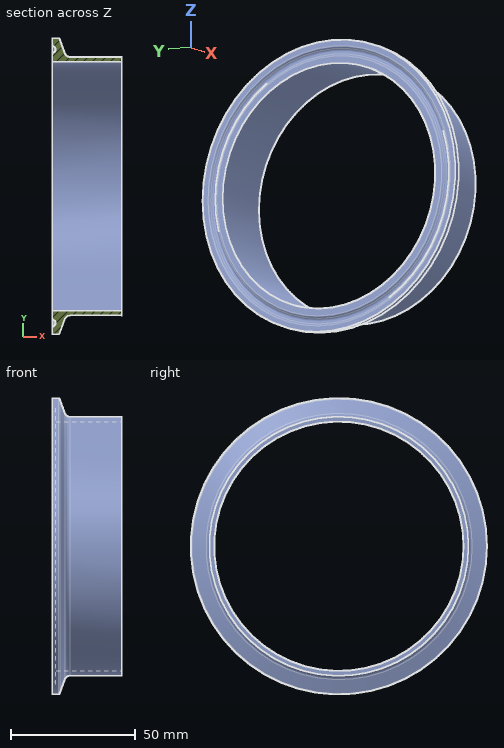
import cadquery as cq
import math

length = 28.0
bore_radius = 100 / 2
tube_radius = 104.0 / 2
flange_radius = 119 / 2

taper_angle = math.radians(20)
rim_width = 2.5
rim_round = 0.6
neck_start = 7.1

groove_radius = 55.0
groove_half_width = 2.0
groove_depth = 1.3
lip_width = 0.89

sin_taper = math.sin(taper_angle)
cos_taper = math.cos(taper_angle)


def on_circle(center, radius, angle):
    """Point on a circle, with the angle measured from the +X axis."""
    return (center[0] + radius * math.cos(angle), center[1] + radius * math.sin(angle))


def flange_and_tube():
    """Revolved section: X runs along the axis, Y is the distance from it."""
    rim_center = (rim_width, flange_radius - rim_round)
    taper_outer = on_circle(rim_center, rim_round, taper_angle)
    center_gap = (neck_start - rim_center[0]) * cos_taper + (tube_radius - rim_center[1]) * sin_taper
    neck_round = (center_gap - rim_round) / (1 - sin_taper)
    neck_center = (neck_start, tube_radius + neck_round)
    taper_inner = on_circle(neck_center, neck_round, math.pi + taper_angle)
    rim_middle = on_circle(rim_center, rim_round, (math.pi / 2 + taper_angle) / 2)
    neck_middle = on_circle(neck_center, neck_round, (math.pi + taper_angle + 1.5 * math.pi) / 2)
    section = (
        cq.Workplane("XY")
        .moveTo(0, bore_radius)
        .lineTo(0, flange_radius)
        .lineTo(rim_width, flange_radius)
        .threePointArc(rim_middle, taper_outer)
        .lineTo(*taper_inner)
        .threePointArc(neck_middle, (neck_start, tube_radius))
        .lineTo(length, tube_radius)
        .lineTo(length, bore_radius)
        .close()
    )
    return section.revolve(360, (0, 0, 0), (1, 0, 0))


def gasket_groove():
    """Ring with a round bottom that blends into the face through rounded lips."""
    half_sweep = 2 * math.atan(groove_depth / groove_half_width)
    lip_round = lip_width / math.sin(half_sweep)
    lip_drop = lip_round * (1 - math.cos(half_sweep))
    arc_offset = lip_round * math.sin(half_sweep / 2)
    arc_drop = lip_round * (1 - math.cos(half_sweep / 2))
    outer_edge = groove_radius + groove_half_width
    inner_edge = groove_radius - groove_half_width
    outer_blend = (lip_drop, outer_edge - lip_width)
    inner_blend = (lip_drop, inner_edge + lip_width)
    section = (
        cq.Workplane("XY")
        .moveTo(0, outer_edge)
        .threePointArc((arc_drop, outer_edge - arc_offset), outer_blend)
        .threePointArc((groove_depth, groove_radius), inner_blend)
        .threePointArc((arc_drop, inner_edge + arc_offset), (0, inner_edge))
        .close()
    )
    return section.revolve(360, (0, 0, 0), (1, 0, 0))


result = flange_and_tube().cut(gasket_groove())